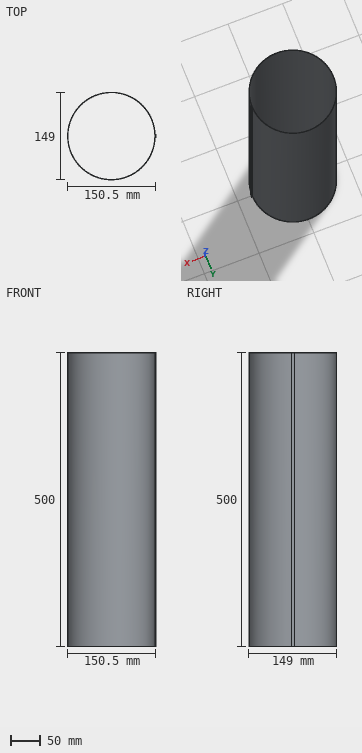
import cadquery as cq

length = 500.0
bore_diameter = 148.0
wall = 0.5
seam_width = 5.0
seam_height = 1.5

bore_radius = bore_diameter / 2
outer_radius = bore_radius + wall

tube = cq.Workplane("XY").circle(outer_radius).circle(bore_radius).extrude(length)

seam_root = bore_radius + wall / 2
seam_depth = outer_radius + seam_height - seam_root
seam = (
    cq.Workplane("XY")
    .center(seam_root + seam_depth / 2, 0)
    .rect(seam_depth, seam_width)
    .extrude(length)
)

result = tube.union(seam)